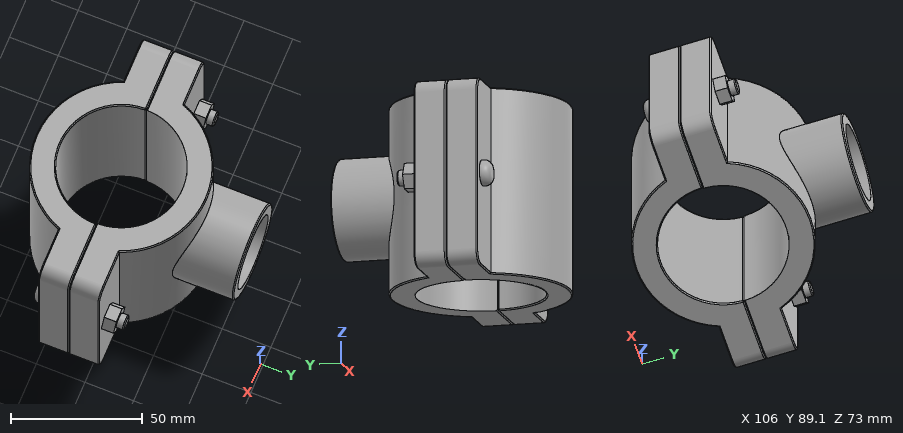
import cadquery as cq
import math

width = 106.0
height = 73.0
bore_diameter = 50.0
ring_diameter = 70.0
flange_thickness = 12.5
flange_corner_radius = 5.3
edge_chamfer = 0.5

branch_diameter = 39.3
branch_end_y = 54.1
socket_diameter = 30.3
socket_depth = 21.0
port_diameter = 25.0

bolt_offset = 45.0
bolt_diameter = 6.0
bolt_end_y = 20.6
head_diameter = 10.0
head_height = 3.9
head_rounding = 3.0
nut_across_flats = 10.0
nut_height = 5.0

ring_radius = ring_diameter / 2
bore_radius = bore_diameter / 2
half_width = width / 2
flange_root_x = math.sqrt(ring_radius**2 - flange_thickness**2)
tolerance = 0.01


def y_plane(y):
    """Work plane parallel to XZ at the given y, with its normal along +Y."""
    return cq.Workplane("XZ", origin=(0, y, 0)).workplane(invert=True)


def cylinder_y(diameter, y_start, y_end):
    return y_plane(y_start).circle(diameter / 2).extrude(y_end - y_start)


def is_bore_edge(edge):
    box = edge.BoundingBox()
    return max(abs(box.xmin), abs(box.xmax)) < bore_radius + tolerance


def is_outer_edge(edge):
    """True for the outline edges around the joint face, the flange faces and the ring rims."""
    box = edge.BoundingBox()
    on_joint = box.ymax < tolerance
    on_flange_face = abs(box.ymin - flange_thickness) < tolerance and box.ylen < tolerance
    at_flange_root = abs(abs(edge.Center().x) - flange_root_x) < tolerance
    on_ring_rim = box.ymax > ring_radius - tolerance
    on_outline = on_joint or on_ring_rim or (on_flange_face and not at_flange_root)
    return on_outline and not is_bore_edge(edge)


def half_clamp(chamfer_bore):
    """Half ring with two flanges on the +Y side of the joint plane."""
    body = (
        cq.Workplane("XY", origin=(0, 0, -height / 2))
        .moveTo(bore_radius, 0)
        .lineTo(half_width, 0)
        .lineTo(half_width, flange_thickness)
        .lineTo(flange_root_x, flange_thickness)
        .threePointArc((0, ring_radius), (-flange_root_x, flange_thickness))
        .lineTo(-half_width, flange_thickness)
        .lineTo(-half_width, 0)
        .lineTo(-bore_radius, 0)
        .threePointArc((0, bore_radius), (bore_radius, 0))
        .close()
        .extrude(height)
    )
    body = body.faces("<X or >X").edges("|Y").fillet(flange_corner_radius)
    chamfered_edges = [
        edge for edge in body.edges().vals()
        if is_outer_edge(edge) or (chamfer_bore and is_bore_edge(edge))
    ]
    return body.newObject(chamfered_edges).chamfer(edge_chamfer)


def branch():
    """Round stub growing out of the back of the ring, before it is bored."""
    return cylinder_y(branch_diameter, bore_radius, branch_end_y).faces(">Y").chamfer(edge_chamfer)


def bolt():
    """Round-headed bolt with its hexagon nut, on the Y axis."""
    head = cylinder_y(head_diameter, -flange_thickness - head_height, -flange_thickness)
    head = head.faces("<Y").edges().fillet(head_rounding)
    shank = cylinder_y(bolt_diameter, -flange_thickness, bolt_end_y).faces(">Y").chamfer(edge_chamfer)
    nut_across_corners = nut_across_flats / math.cos(math.pi / 6)
    nut = y_plane(flange_thickness).polygon(6, nut_across_corners).extrude(nut_height)
    return shank.union(head).union(nut)


back_half = half_clamp(chamfer_bore=False)
front_half = half_clamp(chamfer_bore=True).mirror("XZ")
ring_bore = cq.Workplane("XY").circle(bore_radius).extrude(height / 2, both=True)

back_half = back_half.union(branch().cut(ring_bore))

back_half = back_half.cut(cylinder_y(port_diameter, 0, branch_end_y))
back_half = back_half.cut(cylinder_y(socket_diameter, branch_end_y - socket_depth, branch_end_y))

result = back_half.union(front_half)
for side in (-1, 1):
    result = result.union(bolt().translate((side * bolt_offset, 0, 0)))